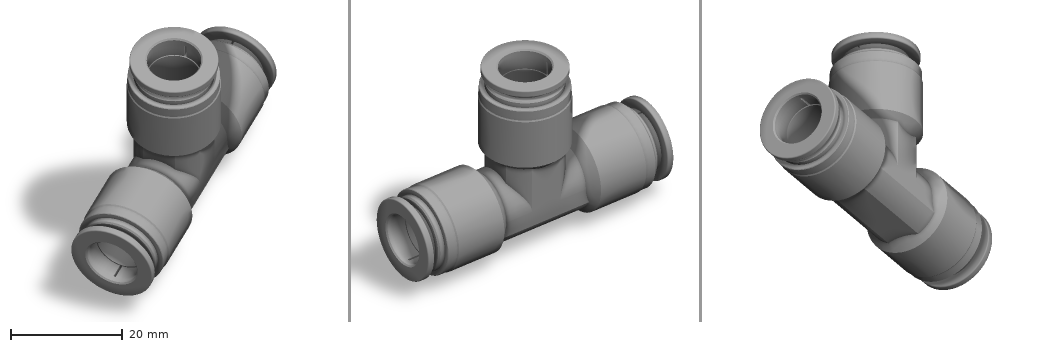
import cadquery as cq
import math

arm_length = 27.2

stem_half = 6.55
stem_flat_half = 3.15
stem_corner_radius = math.hypot(stem_half, stem_flat_half)
body_radius = 8.5
body_start = 10.7
body_end = 20.7
shoulder_start = body_start - (body_radius - stem_half)
stem_end = body_start - (body_radius - stem_corner_radius)

collar_radius = 8.3
collar_step = 0.25
collar_end = 23.05
collar_edge = 0.1
ring_radius = 7.3
ring_end = 24.3
ring_chamfer = 0.25

neck_radius = 6.05
flange_radius = 8.0
flange_start = 25.85
flange_edge_radius = 0.2
slit_width = 0.45

bore_radius = 4.7
sleeve_bore_radius = 4.9
sleeve_bore_end = 23.0
mouth_chamfer = 0.25


def revolve_about_z(outline):
    """Solid of revolution from (radius, height) points."""
    return cq.Workplane("XZ").polyline(outline).close().revolve(360, (0, 0, 0), (0, 1, 0))


def arm_solid():
    """One arm revolved about +Z, from the axis crossing to the flange face."""
    outline = [
        (0, 0),
        (stem_half, 0),
        (stem_half, shoulder_start),
        (body_radius, body_start),
        (body_radius, body_end),
        (collar_radius, body_end + collar_step),
        (collar_radius, collar_end - collar_edge),
        (collar_radius - collar_edge, collar_end),
        (ring_radius, collar_end),
        (ring_radius, ring_end - ring_chamfer),
        (ring_radius - ring_chamfer, ring_end),
        (neck_radius, ring_end),
        (neck_radius, arm_length),
        (0, arm_length),
    ]
    flange = (
        cq.Workplane("XY", origin=(0, 0, flange_start))
        .circle(flange_radius)
        .extrude(arm_length - flange_start)
        .edges()
        .fillet(flange_edge_radius)
    )
    return revolve_about_z(outline).union(flange)


def arm_cavity():
    """Stepped bore of one arm, with the sleeve slit lying across the X = 0 plane."""
    outline = [
        (0, 0),
        (bore_radius, 0),
        (bore_radius, sleeve_bore_end),
        (sleeve_bore_radius, sleeve_bore_end),
        (sleeve_bore_radius, arm_length - mouth_chamfer),
        (sleeve_bore_radius + mouth_chamfer, arm_length),
        (0, arm_length),
    ]
    bore = revolve_about_z(outline)
    slit = (
        cq.Workplane("XY", origin=(0, 0, sleeve_bore_end))
        .rect(slit_width, 2 * neck_radius)
        .extrude(flange_start - sleeve_bore_end)
        .intersect(cq.Workplane("XY").circle(neck_radius).extrude(arm_length))
    )
    return bore.union(slit)


def stem_block(start, end):
    """Square stem along Z whose corners are rounded about its own axis."""
    square = cq.Workplane("XY", origin=(0, 0, start)).rect(2 * stem_half, 2 * stem_half)
    round_bar = cq.Workplane("XY", origin=(0, 0, start)).circle(stem_corner_radius)
    return square.extrude(end - start).intersect(round_bar.extrude(end - start))


def all_arms(shape):
    """Union of a +Z arm shape with its copies along +Y and -Y."""
    origin = (0, 0, 0)
    x_axis = (1, 0, 0)
    combined = shape
    for angle in (-90, 90):
        combined = combined.union(shape.rotate(origin, x_axis, angle))
    return combined


lower_half = cq.Workplane("XY").box(2 * body_radius, 2 * arm_length, body_radius, (True, True, False))
lower_half = lower_half.translate((0, 0, -body_radius))
run_block = stem_block(-stem_end, stem_end).rotate((0, 0, 0), (1, 0, 0), 90).intersect(lower_half)
branch_block = stem_block(0, stem_end)

housing = all_arms(arm_solid()).union(run_block).union(branch_block)
result = housing.cut(all_arms(arm_cavity()))